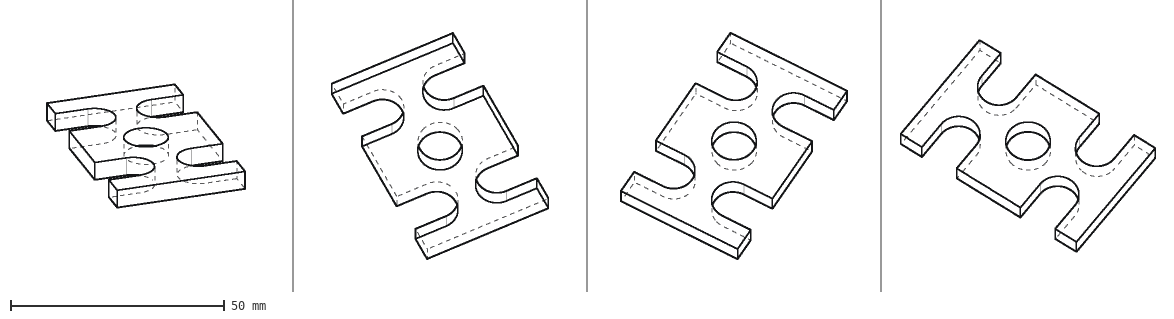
import cadquery as cq

length = 50.8
width = 31.75
thickness = 4.5

hole_diameter = 10.4

slot_width = 10.0
slot_offset = 14.2
left_slot_depth = 13.0
right_slot_depth = 12.8


def edge_slot(x, side, depth):
    """Slot cutter entering from the +Y (side=1) or -Y (side=-1) edge."""
    radius = slot_width / 2
    edge_y = side * width / 2
    arc_start_y = edge_y - side * (depth - radius)
    return (
        cq.Workplane("XY")
        .moveTo(x - radius, edge_y)
        .lineTo(x - radius, arc_start_y)
        .threePointArc((x, edge_y - side * depth), (x + radius, arc_start_y))
        .lineTo(x + radius, edge_y)
        .close()
        .extrude(thickness)
    )


plate = cq.Workplane("XY").box(length, width, thickness, centered=(True, True, False))
result = plate.faces(">Z").workplane().hole(hole_diameter)

for side in (1, -1):
    result = result.cut(edge_slot(-slot_offset, side, left_slot_depth))
    result = result.cut(edge_slot(slot_offset, side, right_slot_depth))